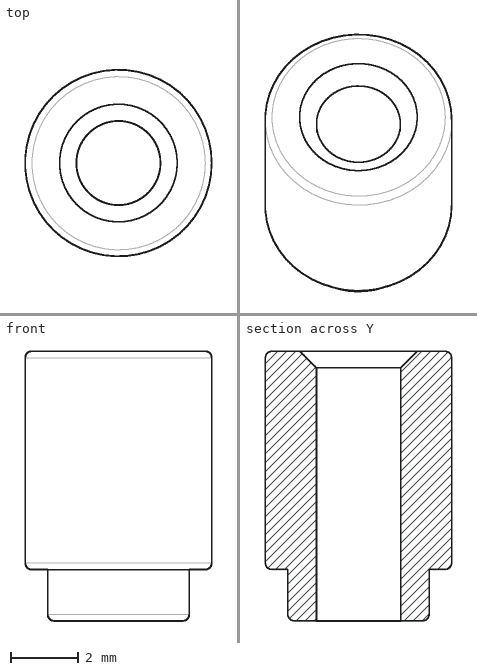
import cadquery as cq

total_height = 8.03
body_diameter = 5.56
spigot_diameter = 4.22
spigot_height = 1.525
edge_radius = 0.2

bore_diameter = 2.5
mouth_diameter = 3.5
mouth_depth = (mouth_diameter - bore_diameter) / 2


def rounded_cylinder(diameter, bottom, height, rounded_edges):
    """Vertical cylinder with the selected circular edges rounded."""
    cylinder = cq.Workplane("XY").workplane(offset=bottom).circle(diameter / 2).extrude(height)
    return cylinder.edges(rounded_edges).fillet(edge_radius)


body = rounded_cylinder(body_diameter, spigot_height, total_height - spigot_height, "%CIRCLE")
spigot = rounded_cylinder(spigot_diameter, 0, spigot_height, "<Z")

result = (
    body.union(spigot)
    .faces(">Z")
    .workplane(origin=(0, 0, total_height))
    .circle(bore_diameter / 2)
    .cutThruAll()
    .faces(">Z")
    .edges("%CIRCLE")
    .edges(cq.selectors.RadiusNthSelector(0))
    .chamfer(mouth_depth)
)